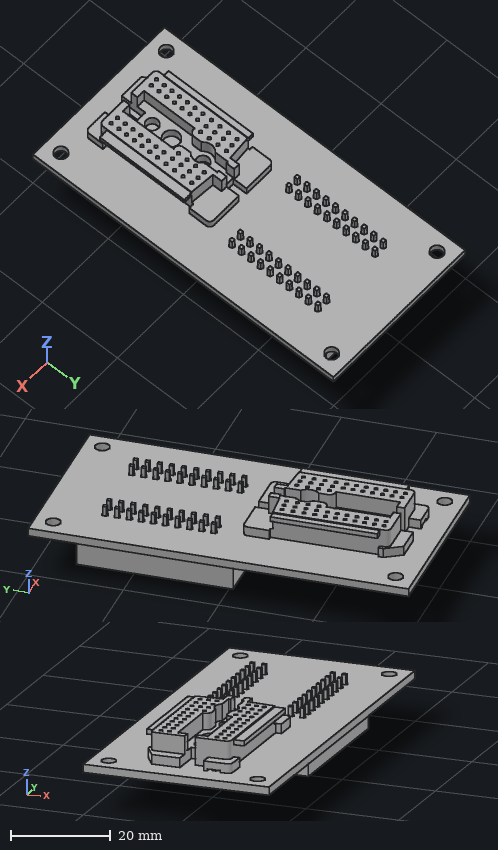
import cadquery as cq


BOARD_WIDTH = 40.0
BOARD_LENGTH = 80.0
BOARD_THICKNESS = 1.8
MOUNT_INSET = 4.0
MOUNT_HOLE_DIA = 3.0

HEADER_WIDTH = 9.0
HEADER_LENGTH = 33.0
HEADER_HEIGHT = 8.9
HEADER_X = 8.6
HEADER_Y = 15.6

PIN_COLUMNS = 2
PIN_ROWS = 10
PIN_ROW_SPAN = 22.9
PIN_PITCH = PIN_ROW_SPAN / (PIN_ROWS - 1)
PIN_SIDE = 0.8
PIN_TOP = 2.0
PIN_HOLE_DIA = 1.3

SOCKET_HEIGHT = 5.8
SOCKET_HALF_WIDTH = 8.6
SOCKET_FRONT = -32.3
SOCKET_SHOULDER = -7.8
TAB_HALF_WIDTH = 2.6
TAB_ROOT = -7.3
TAB_BACK = -5.0
CORNER_RADIUS = 1.0

FLOOR_HEIGHT = 2.3
FLOOR_FRONT = -28.6
FLOOR_BACK = -5.2
SLOT_WIDTH = 2.3
NECK_WIDTH = 3.3
NECK_BACK = -7.0
BAY_WIDTH = 6.4
BAY_FRONT = -30.7
BAY_BACK = -17.3
MOUTH_RADIUS = 1.3
RELIEF_RADIUS = 2.5
SMALL_FLOOR_HOLE_DIA = 3.0
LARGE_FLOOR_HOLE_DIA = 4.0
BACK_HOLE_Y = -12.2
MIDDLE_HOLE_Y = -20.6
FRONT_HOLE_Y = -25.8

SELECT_MARGIN = 0.1

CONTACT_DIA = 0.7
CONTACT_COLUMNS = [(6.9, -9.2, 11), (5.1, -9.0, 11), (3.4, -9.0, 4)]
BACK_CONTACT_GAPS = 4
FRONT_CONTACT_GAPS = 6
BACK_CONTACT_SPAN = 9.1
FRONT_CONTACT_SPAN = 12.3
BACK_CONTACT_PITCH = BACK_CONTACT_SPAN / BACK_CONTACT_GAPS
FRONT_CONTACT_PITCH = FRONT_CONTACT_SPAN / FRONT_CONTACT_GAPS

FOOT_OFFSET = 0.2
FOOT_HALF_SPAN = 9.6
FOOT_HEIGHT = 2.0
FOOT_BACK = -1.7
FOOT_FRONT = -34.9
FLANGE_FRONT = -30.2
SHORT_FOOT_LEFT = 3.9
CHAMFER_X = 2.2
CHAMFER_Y = 3.6
NOTCH_WIDTH = 2.8
NOTCH_HEIGHT = 0.4

FLANGE_BOTTOM = 4.6
FLANGE_TOP = 5.6
FLANGE_LEFT = -10.1
FLANGE_RIGHT = 10.8

PEG_DIA = 1.5
PEG_TIP_DIA = 1.1
PEG_SHOULDER_DEPTH = 0.8
PEG_TIP_DEPTH = 1.8
PEG_HALF_SPAN = 7.0
PEG_BACK_Y = -3.2
PEG_FRONT_Y = -33.6
KEY_PEG_X = 6.1
PEG_POINTS = [
    (FOOT_OFFSET - PEG_HALF_SPAN, PEG_FRONT_Y),
    (FOOT_OFFSET - PEG_HALF_SPAN, PEG_BACK_Y),
    (FOOT_OFFSET + PEG_HALF_SPAN, PEG_BACK_Y),
    (KEY_PEG_X, PEG_FRONT_Y),
]


def block(left, right, front, back, bottom, top):
    """Rectangular block given by its six side positions."""
    size = (right - left, back - front, top - bottom)
    return cq.Workplane("XY").box(*size, centered=False).translate((left, front, bottom))


def cylinders(points, diameter, bottom, top):
    """Upright cylinders of one diameter at the given XY points."""
    base = cq.Workplane("XY", origin=(0, 0, bottom)).pushPoints(points)
    return base.circle(diameter / 2).extrude(top - bottom)


def header_pin_points(header_x):
    """Pin positions of one header."""
    return [
        (
            header_x + (column - (PIN_COLUMNS - 1) / 2) * PIN_PITCH,
            HEADER_Y + (row - (PIN_ROWS - 1) / 2) * PIN_PITCH,
        )
        for column in range(PIN_COLUMNS)
        for row in range(PIN_ROWS)
    ]


def contact_points():
    """Contact hole positions: each column changes pitch after its first gaps."""
    points = []
    for distance, back_y, count in CONTACT_COLUMNS:
        for index in range(count):
            back_gaps = min(index, BACK_CONTACT_GAPS)
            y = back_y - back_gaps * BACK_CONTACT_PITCH - (index - back_gaps) * FRONT_CONTACT_PITCH
            points += [(-distance, y), (distance, y)]
    return points


def make_board():
    """Board with mounting holes, peg holes, and two headers whose pins rise through it."""
    bottom = -BOARD_THICKNESS
    board = block(-BOARD_WIDTH / 2, BOARD_WIDTH / 2, -BOARD_LENGTH / 2, BOARD_LENGTH / 2, bottom, 0)
    mount_x = BOARD_WIDTH / 2 - MOUNT_INSET
    mount_y = BOARD_LENGTH / 2 - MOUNT_INSET
    mounts = [(sx * mount_x, sy * mount_y) for sx in (-1, 1) for sy in (-1, 1)]
    board = board.cut(cylinders(mounts, MOUNT_HOLE_DIA, bottom, 0))
    board = board.cut(cylinders(PEG_POINTS, PEG_DIA, bottom, 0))
    for header_x in (-HEADER_X, HEADER_X):
        pin_points = header_pin_points(header_x)
        header = block(
            header_x - HEADER_WIDTH / 2,
            header_x + HEADER_WIDTH / 2,
            HEADER_Y - HEADER_LENGTH / 2,
            HEADER_Y + HEADER_LENGTH / 2,
            bottom - HEADER_HEIGHT,
            bottom,
        )
        pins = (
            cq.Workplane("XY", origin=(0, 0, bottom))
            .pushPoints(pin_points)
            .rect(PIN_SIDE, PIN_SIDE)
            .extrude(PIN_TOP + BOARD_THICKNESS)
        )
        board = board.cut(cylinders(pin_points, PIN_HOLE_DIA, bottom, 0)).union(header).union(pins)
    return board


def socket_block():
    """Socket body with rounded front corners, sloped shoulders and a rear tab."""
    right_half = [
        (SOCKET_HALF_WIDTH, SOCKET_FRONT),
        (SOCKET_HALF_WIDTH, SOCKET_SHOULDER),
        (TAB_HALF_WIDTH, TAB_ROOT),
        (TAB_HALF_WIDTH, TAB_BACK),
    ]
    left_half = [(-x, y) for x, y in reversed(right_half)]
    body = cq.Workplane("XY").polyline(right_half + left_half).close().extrude(SOCKET_HEIGHT)
    return body.edges("|Z and <Y").fillet(CORNER_RADIUS)


def back_foot():
    """Wide rear foot with rounded rear corners, filled in up to the sloped shoulders."""
    left = FOOT_OFFSET - FOOT_HALF_SPAN
    right = FOOT_OFFSET + FOOT_HALF_SPAN
    foot = block(left, right, TAB_ROOT, FOOT_BACK, 0, FOOT_HEIGHT)
    foot = foot.edges("|Z and >Y").fillet(CORNER_RADIUS)
    link = block(-SOCKET_HALF_WIDTH, SOCKET_HALF_WIDTH, SOCKET_SHOULDER, TAB_ROOT, 0, FOOT_HEIGHT)
    return foot.union(link)


def chamfered_foot():
    """Front left foot, with its outer corner cut off."""
    left = FOOT_OFFSET - FOOT_HALF_SPAN
    outline = [
        (left, FLANGE_FRONT),
        (left, FOOT_FRONT + CHAMFER_Y),
        (left + CHAMFER_X, FOOT_FRONT),
        (0, FOOT_FRONT),
        (0, FLANGE_FRONT),
    ]
    return cq.Workplane("XY").polyline(outline).close().extrude(FOOT_HEIGHT)


def short_foot():
    """Front right foot, with a rounded outer corner and a shallow notch underneath."""
    right = FOOT_OFFSET + FOOT_HALF_SPAN
    foot = block(SHORT_FOOT_LEFT, right, FOOT_FRONT, FLANGE_FRONT, 0, FOOT_HEIGHT)
    foot = foot.edges("|Z and >X and <Y").fillet(CORNER_RADIUS)
    notch = block(
        KEY_PEG_X - NOTCH_WIDTH / 2, KEY_PEG_X + NOTCH_WIDTH / 2, FOOT_FRONT, SOCKET_FRONT, 0, NOTCH_HEIGHT
    )
    return foot.cut(notch)


def channel():
    """Space above the channel floor: slot, neck with a round relief, and front bay."""
    above_floor = (FLOOR_HEIGHT, SOCKET_HEIGHT)
    neck = block(-NECK_WIDTH / 2, NECK_WIDTH / 2, BAY_BACK, NECK_BACK, *above_floor)
    bay = block(-BAY_WIDTH / 2, BAY_WIDTH / 2, BAY_FRONT, BAY_BACK, *above_floor)
    relief = cylinders([(0, BACK_HOLE_Y)], 2 * RELIEF_RADIUS, *above_floor)
    slot = block(-SLOT_WIDTH / 2, SLOT_WIDTH / 2, FOOT_FRONT, FOOT_BACK, *above_floor)
    mouth_half = NECK_WIDTH / 2 + SELECT_MARGIN
    mouth_corners = cq.selectors.BoxSelector(
        (-mouth_half, BAY_BACK - SELECT_MARGIN, FLOOR_HEIGHT),
        (mouth_half, BAY_BACK + SELECT_MARGIN, SOCKET_HEIGHT),
    )
    neck_and_bay = neck.union(bay).edges("|Z").edges(mouth_corners).fillet(MOUTH_RADIUS)
    return neck_and_bay.union(relief).union(slot)


def end_slots():
    """Full-height slots in front of and behind the channel floor."""
    half = SLOT_WIDTH / 2
    front_slot = block(-half, half, FOOT_FRONT, FLOOR_FRONT, 0, SOCKET_HEIGHT)
    back_slot = block(-half, half, FLOOR_BACK, FOOT_BACK, 0, SOCKET_HEIGHT)
    return front_slot.union(back_slot)


def make_socket():
    """Chip socket with feet, side flanges, channel, contact holes and pegs."""
    socket = socket_block().union(back_foot()).union(chamfered_foot()).union(short_foot())
    flanges = block(FLANGE_LEFT, FLANGE_RIGHT, FLANGE_FRONT, SOCKET_SHOULDER, FLANGE_BOTTOM, FLANGE_TOP)
    socket = socket.union(flanges)
    socket = socket.cut(channel()).cut(end_slots())
    small_holes = [(0, BACK_HOLE_Y), (0, FRONT_HOLE_Y)]
    socket = socket.cut(cylinders(small_holes, SMALL_FLOOR_HOLE_DIA, 0, FLOOR_HEIGHT))
    socket = socket.cut(cylinders([(0, MIDDLE_HOLE_Y)], LARGE_FLOOR_HOLE_DIA, 0, FLOOR_HEIGHT))
    socket = socket.cut(cylinders(contact_points(), CONTACT_DIA, 0, SOCKET_HEIGHT))
    shoulder_bottom = -BOARD_THICKNESS - PEG_SHOULDER_DEPTH
    tip_bottom = -BOARD_THICKNESS - PEG_TIP_DEPTH
    socket = socket.union(cylinders(PEG_POINTS, PEG_DIA, shoulder_bottom, FOOT_HEIGHT))
    return socket.union(cylinders(PEG_POINTS, PEG_TIP_DIA, tip_bottom, shoulder_bottom))


board = make_board()
socket = make_socket()

result = cq.Compound.makeCompound([board.val(), socket.val()])